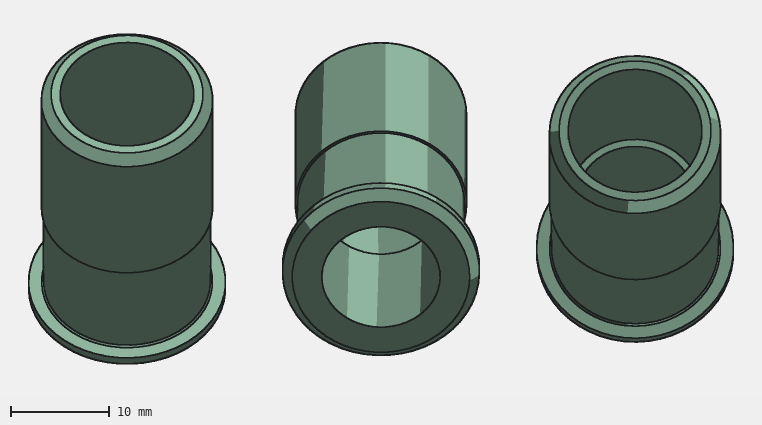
import cadquery as cq

height = 32.0
flange_radius = 10.0

head_radius = 8.7
shank_radius = 8.48
shoulder_z = 14.0
top_chamfer = 1.0

flange_thickness = 2.0
flange_chamfer = 1.0
root_chamfer = 0.2

upper_bore_radius = 6.8
lower_bore_radius = 6.0
bore_step_z = shoulder_z


def outer_body():
    """Revolve the solid outline of the flanged sleeve about Z."""
    outline = [
        (0, 0),
        (flange_radius - flange_chamfer, 0),
        (flange_radius, flange_chamfer),
        (flange_radius, flange_thickness),
        (shank_radius + root_chamfer, flange_thickness),
        (shank_radius, flange_thickness + root_chamfer),
        (shank_radius, shoulder_z),
        (head_radius, shoulder_z),
        (head_radius, height - top_chamfer),
        (head_radius - top_chamfer, height),
        (0, height),
    ]
    return cq.Workplane("XZ").polyline(outline).close().revolve(360, (0, 0), (0, 1))


def stepped_bore():
    """Cutter for the through bore and its wider upper part."""
    through = cq.Workplane("XY").circle(lower_bore_radius).extrude(height)
    upper = (
        cq.Workplane("XY")
        .workplane(offset=bore_step_z)
        .circle(upper_bore_radius)
        .extrude(height - bore_step_z)
    )
    return through.union(upper)


result = outer_body().cut(stepped_bore())